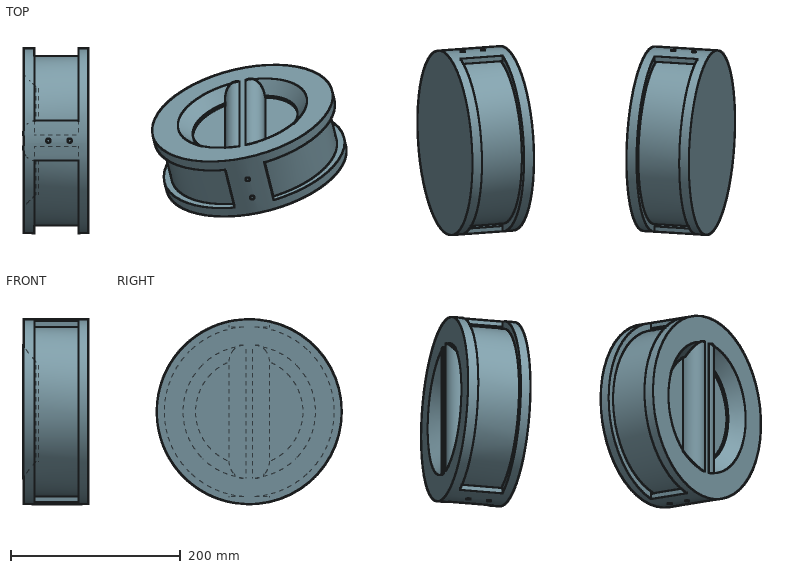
import cadquery as cq
import math

body_radius = 109.0
body_length = 76.0

inlet_flange = 12.5
recess_width = 51.9
recess_floor_radius = 100.0
land_half_width = 23.5
land_underside = 99.8

mouth_diameter = 155.9
throat_radius = 63.2
cone_depth = 14.5
throat_length = 2.8

web_half_width = 3.7
bar_side = 23.8
bar_rise = 0.7
bar_center_y = 8.7
bar_seat = 0.5

pin_diameter = 5.0
pin_recess_depth = 0.2
pin_positions = (29.0, 54.0)

mouth_radius = mouth_diameter / 2
plate_depth = cone_depth + throat_length
cone_slope = (mouth_radius - throat_radius) / cone_depth
bar_radius = bar_side - bar_center_y
bar_reach = mouth_radius + (bar_rise + bar_seat) * cone_slope
bar_center_x = bar_radius - bar_rise


def disc(radius, start, length):
    """Cylinder along X."""
    return cq.Workplane("YZ").workplane(offset=start).circle(radius).extrude(length)


def block(x_start, x_end, width, height):
    """Box centred on the X axis."""
    return cq.Workplane("YZ").workplane(offset=x_start).rect(width, height).extrude(x_end - x_start)


def make_body():
    """Round body with two rim recesses separated by lands at top and bottom."""
    recess_end = inlet_flange + recess_width
    ring = disc(body_radius, inlet_flange, recess_width).cut(
        disc(recess_floor_radius, inlet_flange, recess_width)
    )
    lands = block(inlet_flange, recess_end, 2 * land_half_width, 2 * body_radius).cut(
        block(inlet_flange, recess_end, 2 * land_half_width, 2 * land_underside)
    )
    return disc(body_radius, 0, body_length).cut(ring.cut(lands))


def make_inlet(overrun=0):
    """Conical mouth and short throat down to the flat plate; the overrun extends the cone outwards."""
    return (
        cq.Workplane("XY")
        .polyline(
            [
                (-overrun, 0),
                (-overrun, mouth_radius + overrun * cone_slope),
                (cone_depth, throat_radius),
                (plate_depth, throat_radius),
                (plate_depth, 0),
            ]
        )
        .close()
        .revolve(360, (0, 0, 0), (1, 0, 0))
    )


def make_bar():
    """Hinge bar on the +Y side: rounded towards the inlet, with a straight flank at the plate."""
    diagonal = bar_radius * math.sqrt(0.5)
    inner_x = bar_center_x - math.sqrt(bar_radius**2 - (bar_center_y - web_half_width) ** 2)
    return (
        cq.Workplane("XY")
        .workplane(offset=-bar_reach)
        .moveTo(plate_depth, web_half_width)
        .lineTo(inner_x, web_half_width)
        .threePointArc(
            (bar_center_x - diagonal, bar_center_y + diagonal),
            (bar_center_x, bar_side),
        )
        .lineTo(plate_depth, bar_side)
        .close()
        .extrude(2 * bar_reach)
        .intersect(make_inlet(bar_rise + bar_seat).translate((bar_seat, 0, 0)))
    )


def make_pin_recess(x, side):
    """Shallow pin recess in the top (side = 1) or bottom (side = -1) land."""
    return (
        cq.Workplane("XY")
        .workplane(offset=side * (body_radius - pin_recess_depth))
        .center(x, 0)
        .circle(pin_diameter / 2)
        .extrude(side * pin_recess_depth)
    )


bar = make_bar()
web = block(0, plate_depth, 2 * web_half_width, 2 * mouth_radius)

result = make_body().cut(make_inlet()).union(web).union(bar).union(bar.mirror("XZ"))
for x in pin_positions:
    for side in (1, -1):
        result = result.cut(make_pin_recess(x, side))